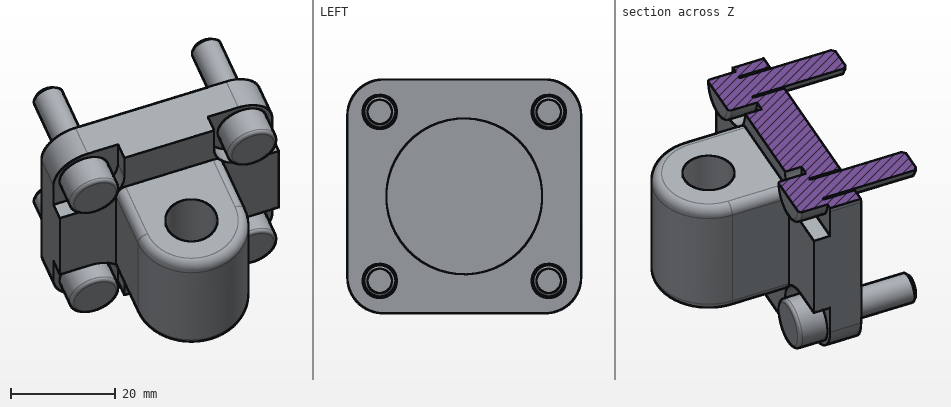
import cadquery as cq


plate_side = 45.0
plate_thickness = 10.0
plate_corner_radius = 7.0

recess_diameter = 29.97
recess_depth = 7.0

screw_spacing = 32.5
shank_diameter = 6.0
shank_projection = 13.4
shank_tip_chamfer = 0.65
head_diameter = 10.0
head_height = 6.0
head_edge_radius = 0.7
neck_radius = 0.25
clearance_diameter = 6.6
seat_height = 6.6
seat_radius = 7.0

lug_width = 22.0
lug_height = 26.0
lug_eye_x = 22.0
lug_eye_diameter = 10.0
lug_edge_radius = 2.0

screw_offset = screw_spacing / 2
seat_inner_edge = screw_offset - seat_radius
seat_depth = plate_thickness - seat_height
shank_length = seat_height + shank_projection
corners = [(y_sign, z_sign) for y_sign in (-1, 1) for z_sign in (-1, 1)]


def make_plate():
    """Square plate with rounded corners and a blind round recess in its mounting face."""
    plate = (
        cq.Workplane("YZ")
        .rect(plate_side, plate_side)
        .extrude(plate_thickness)
        .edges("|X")
        .fillet(plate_corner_radius)
    )
    recess = cq.Workplane("YZ").circle(recess_diameter / 2).extrude(recess_depth)
    return plate.cut(recess)


def make_lug():
    """Round-ended lug with rounded rims; its eye is drilled along Z."""
    lug = (
        cq.Workplane("XY", origin=(0, 0, -lug_height / 2))
        .moveTo(plate_thickness, -lug_width / 2)
        .lineTo(lug_eye_x, -lug_width / 2)
        .threePointArc((lug_eye_x + lug_width / 2, 0), (lug_eye_x, lug_width / 2))
        .lineTo(plate_thickness, lug_width / 2)
        .close()
        .extrude(lug_height)
    )
    rim_edges = lug.faces("<Z or >Z").edges("not <X")
    lug = lug.newObject(rim_edges.vals()).fillet(lug_edge_radius)
    eye = (
        cq.Workplane("XY", origin=(lug_eye_x, 0, -lug_height / 2))
        .circle(lug_eye_diameter / 2)
        .extrude(lug_height)
    )
    return lug.cut(eye)


def make_seat(y_sign, z_sign):
    """Corner cutout for a screw head, open to both plate sides, with its clearance hole."""
    seat_side = plate_side / 2 - seat_inner_edge
    seat_centre = seat_inner_edge + seat_side / 2
    inner_y_side = "<Y" if y_sign > 0 else ">Y"
    inner_z_side = "<Z" if z_sign > 0 else ">Z"
    seat = (
        cq.Workplane("YZ", origin=(seat_height, y_sign * seat_centre, z_sign * seat_centre))
        .rect(seat_side, seat_side)
        .extrude(seat_depth)
        .edges(f"|X and {inner_y_side} and {inner_z_side}")
        .fillet(seat_radius)
    )
    clearance_hole = (
        cq.Workplane("YZ", origin=(0, y_sign * screw_offset, z_sign * screw_offset))
        .circle(clearance_diameter / 2)
        .extrude(seat_height)
    )
    return seat.union(clearance_hole)


def make_screw(y_sign, z_sign):
    """Cylinder-head screw resting on its seat, its shank passing through the plate with a gap all round."""
    seat_plane = cq.Workplane("YZ", origin=(seat_height, y_sign * screw_offset, z_sign * screw_offset))
    head = (
        seat_plane.circle(head_diameter / 2)
        .extrude(head_height)
        .faces(">X")
        .fillet(head_edge_radius)
    )
    shank = (
        seat_plane.circle(shank_diameter / 2)
        .extrude(-shank_length)
        .faces("<X")
        .chamfer(shank_tip_chamfer)
    )
    screw = head.union(shank)
    head_underside = screw.faces("<X[-2]")
    neck_edge = head_underside.edges(cq.selectors.RadiusNthSelector(0))
    return neck_edge.fillet(neck_radius)


result = make_plate()
for corner in corners:
    result = result.cut(make_seat(*corner))
result = result.union(make_lug())
for corner in corners:
    result = result.union(make_screw(*corner))